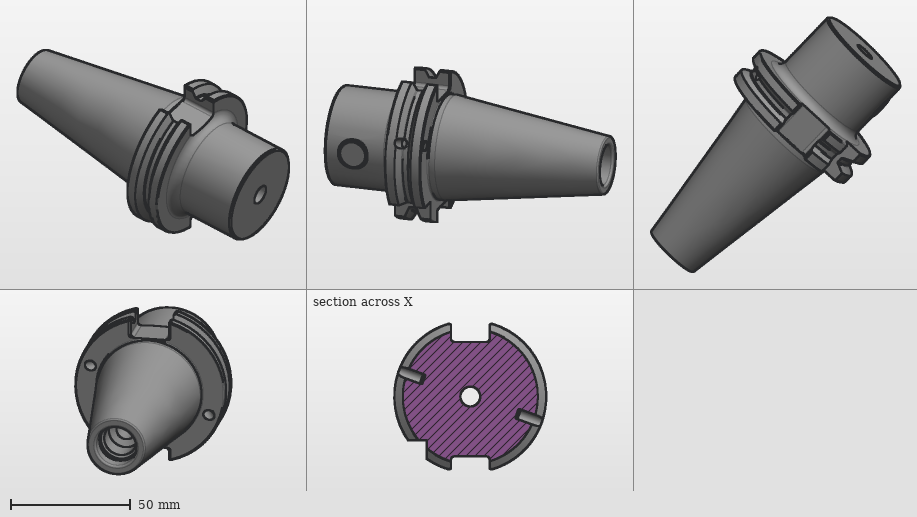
import cadquery as cq
import math


GAUGE_RADIUS = 22.225
TAPER_SLOPE = 7 / 48
TAPER_LENGTH = 68.4
TIP_X = -TAPER_LENGTH
TIP_RADIUS = GAUGE_RADIUS - TAPER_LENGTH * TAPER_SLOPE
TIP_ROUND = 0.7
ROOT_ROUND = 0.6

FLANGE_RADIUS = 31.75
FLANGE_FRONT = 3.2
FLANGE_BACK = 18.8
FLANGE_ROUND = 0.4
GROOVE_CENTRE = 11.0
GROOVE_TOP_WIDTH = 7.0
GROOVE_FLOOR_RADIUS = 28.125
GROOVE_FLANK_ANGLE = 30.0
GROOVE_CORNER_ROUND = 0.5

NOSE_RADIUS = 21.0
NOSE_END = 48.95
NOSE_CHAMFER = 0.7
NOSE_FILLET = 4.1

BORE_RADIUS = 8.5
BORE_DEPTH = 6.7
BORE_MOUTH_ROUND = 1.0
RELIEF_RADIUS = 8.3
RELIEF_LENGTH = 2.2
THREAD_RADIUS = 7.0
THREAD_LENGTH = 10.0
THROUGH_RADIUS = 4.1
CONE_ANGLE = 59.0

SLOT_HALF_WIDTH = 8.05
SLOT_CORNER_ROUND = 1.4
UPPER_SLOT_FLOOR = 22.8
LOWER_SLOT_FLOOR = 25.0
SLOT_BEVEL_WIDTH = 0.87
SLOT_BEVEL_DEPTH = 0.5
NOTCH_OFFSET = 18.25

COOLANT_RADIUS = 2.1
COOLANT_CLOCK_ANGLE = 20.0
FEED_START_RADIUS = 26.85
FEED_ANGLE = 28.0
OUTLET_X = FLANGE_FRONT + 9.75

SCREW_RADIUS = 6.0
SCREW_X = NOSE_END - 12.5
SCREW_TIP_Y = 8.0
SCREW_TOP_CHAMFER = 0.5
SCREW_SEAT_RADIUS = 6.5

CUT_MARGIN = 1.0


def revolve_about_x(sketch):
    """Turn a closed (x, radius) outline once around the X axis."""
    return sketch.close().revolve(360, (0, 0, 0), (1, 0, 0))


def shank_and_nose():
    fillet_mid = NOSE_FILLET * (1 - math.sqrt(0.5))
    root_mid = ROOT_ROUND * (1 - math.sqrt(0.5))
    outline = (
        cq.Workplane("XY")
        .moveTo(TIP_X, 0)
        .lineTo(TIP_X, TIP_RADIUS)
        .lineTo(0, GAUGE_RADIUS)
        .lineTo(FLANGE_FRONT - ROOT_ROUND, GAUGE_RADIUS)
        .threePointArc(
            (FLANGE_FRONT - root_mid, GAUGE_RADIUS + root_mid),
            (FLANGE_FRONT, GAUGE_RADIUS + ROOT_ROUND),
        )
        .lineTo(FLANGE_BACK, GAUGE_RADIUS + ROOT_ROUND)
        .lineTo(FLANGE_BACK, NOSE_RADIUS + NOSE_FILLET)
        .threePointArc(
            (FLANGE_BACK + fillet_mid, NOSE_RADIUS + fillet_mid),
            (FLANGE_BACK + NOSE_FILLET, NOSE_RADIUS),
        )
        .lineTo(NOSE_END - NOSE_CHAMFER, NOSE_RADIUS)
        .lineTo(NOSE_END, NOSE_RADIUS - NOSE_CHAMFER)
        .lineTo(NOSE_END, 0)
    )
    return revolve_about_x(outline).faces("<X").edges().fillet(TIP_ROUND)


def flange():
    disc = (
        cq.Workplane("YZ", origin=(FLANGE_FRONT, 0, 0))
        .circle(FLANGE_RADIUS)
        .extrude(FLANGE_BACK - FLANGE_FRONT)
        .edges()
        .fillet(FLANGE_ROUND)
    )
    flank_slope = math.tan(math.radians(GROOVE_FLANK_ANGLE))
    top_radius = FLANGE_RADIUS + CUT_MARGIN
    half_top = GROOVE_TOP_WIDTH / 2 + CUT_MARGIN * flank_slope
    half_floor = half_top - (top_radius - GROOVE_FLOOR_RADIUS) * flank_slope
    groove = revolve_about_x(
        cq.Workplane("XY")
        .moveTo(GROOVE_CENTRE - half_top, top_radius)
        .lineTo(GROOVE_CENTRE - half_floor, GROOVE_FLOOR_RADIUS)
        .lineTo(GROOVE_CENTRE + half_floor, GROOVE_FLOOR_RADIUS)
        .lineTo(GROOVE_CENTRE + half_top, top_radius)
    )
    floor_edges = cq.selectors.BoxSelector(
        (FLANGE_FRONT, -GROOVE_FLOOR_RADIUS, -GROOVE_FLOOR_RADIUS),
        (FLANGE_BACK, GROOVE_FLOOR_RADIUS, GROOVE_FLOOR_RADIUS),
    )
    return disc.cut(groove.edges(floor_edges).fillet(GROOVE_CORNER_ROUND))


def cone_length(large_radius, small_radius):
    """Axial length of a bore cone between two radii."""
    return (large_radius - small_radius) / math.tan(math.radians(CONE_ANGLE))


def axial_bore():
    mouth_mid = BORE_MOUTH_ROUND * (1 - math.sqrt(0.5))
    step_x = TIP_X + BORE_DEPTH
    relief_end = step_x + RELIEF_LENGTH
    thread_start = relief_end + cone_length(RELIEF_RADIUS, THREAD_RADIUS)
    thread_end = thread_start + THREAD_LENGTH
    return revolve_about_x(
        cq.Workplane("XY")
        .moveTo(TIP_X, 0)
        .lineTo(TIP_X, BORE_RADIUS + BORE_MOUTH_ROUND)
        .threePointArc(
            (TIP_X + mouth_mid, BORE_RADIUS + mouth_mid),
            (TIP_X + BORE_MOUTH_ROUND, BORE_RADIUS),
        )
        .lineTo(step_x, BORE_RADIUS)
        .lineTo(step_x, RELIEF_RADIUS)
        .lineTo(relief_end, RELIEF_RADIUS)
        .lineTo(thread_start, THREAD_RADIUS)
        .lineTo(thread_end, THREAD_RADIUS)
        .lineTo(thread_end + cone_length(THREAD_RADIUS, THROUGH_RADIUS), THROUGH_RADIUS)
        .lineTo(NOSE_END, THROUGH_RADIUS)
        .lineTo(NOSE_END, 0)
    )


def slot_outline(plane, half_width, floor):
    """Slot section with rounded floor corners, open past the flange rim."""
    top = FLANGE_RADIUS + CUT_MARGIN
    corner = SLOT_CORNER_ROUND
    inset = corner * (1 - math.sqrt(0.5))
    return (
        plane.moveTo(-half_width, top)
        .lineTo(-half_width, floor + corner)
        .threePointArc((-half_width + inset, floor + inset), (-half_width + corner, floor))
        .lineTo(half_width - corner, floor)
        .threePointArc((half_width - inset, floor + inset), (half_width, floor + corner))
        .lineTo(half_width, top)
        .close()
    )


def driving_slot(floor):
    """Cutter for a slot on the +Z side, with bevels at its front and rim edges."""
    bevelled_half_width = SLOT_HALF_WIDTH + SLOT_BEVEL_WIDTH
    slot_end = FLANGE_BACK + NOSE_FILLET
    channel = slot_outline(
        cq.Workplane("YZ", origin=(FLANGE_FRONT - ROOT_ROUND, 0, 0)), SLOT_HALF_WIDTH, floor
    ).extrude(slot_end - FLANGE_FRONT + ROOT_ROUND)
    wide_section = slot_outline(
        cq.Workplane("YZ", origin=(FLANGE_FRONT, 0, 0)), bevelled_half_width, floor
    )
    front_bevel = slot_outline(
        wide_section.workplane(offset=SLOT_BEVEL_DEPTH), SLOT_HALF_WIDTH, floor
    ).loft(ruled=True)

    rim_height = math.sqrt(FLANGE_RADIUS**2 - bevelled_half_width**2)
    top = FLANGE_RADIUS + CUT_MARGIN
    rim_bevel = (
        cq.Workplane("YZ", origin=(FLANGE_FRONT, 0, 0))
        .moveTo(-bevelled_half_width, top)
        .lineTo(-bevelled_half_width, rim_height)
        .lineTo(-SLOT_HALF_WIDTH, rim_height - SLOT_BEVEL_DEPTH)
        .lineTo(SLOT_HALF_WIDTH, rim_height - SLOT_BEVEL_DEPTH)
        .lineTo(bevelled_half_width, rim_height)
        .lineTo(bevelled_half_width, top)
        .close()
        .extrude(FLANGE_BACK - FLANGE_FRONT)
    )
    return channel.union(front_bevel).union(rim_bevel)


def orientation_notch():
    """Corner cutter on the +Y, -Z side, through the whole flange."""
    size = FLANGE_RADIUS - NOTCH_OFFSET
    corner = cq.Workplane("XY").box(FLANGE_BACK - FLANGE_FRONT, size, size, centered=False)
    return corner.translate((FLANGE_FRONT, NOTCH_OFFSET, -FLANGE_RADIUS))


def coolant_drill(start, direction, length):
    return cq.Workplane(cq.Solid.makeCylinder(COOLANT_RADIUS, length, start, direction))


def coolant_hole(clock_angle):
    """Feed slanting inward from the flange face, met by a radial hole from the groove."""
    feed_angle = math.radians(FEED_ANGLE)
    feed_direction = cq.Vector(math.cos(feed_angle), -math.sin(feed_angle), 0)
    face_point = cq.Vector(FLANGE_FRONT, FEED_START_RADIUS, 0)
    meeting_length = (OUTLET_X - FLANGE_FRONT) / math.cos(feed_angle)
    meeting_point = face_point + feed_direction * meeting_length
    lead_in = 2 * COOLANT_RADIUS
    feed = coolant_drill(face_point - feed_direction * lead_in, feed_direction, lead_in + meeting_length)
    outlet_length = FLANGE_RADIUS + CUT_MARGIN - meeting_point.y
    outlet = coolant_drill(meeting_point, cq.Vector(0, 1, 0), outlet_length)
    return feed.union(outlet).rotate((0, 0, 0), (1, 0, 0), clock_angle)


def screw_cylinder(bottom_y, top_y):
    return (
        cq.Workplane("XZ", origin=(SCREW_X, bottom_y, 0))
        .circle(SCREW_RADIUS)
        .extrude(bottom_y - top_y)
    )


def screw_hole():
    """Blind radial hole with a 45 degree countersink that clears the curved nose."""
    seat_depth = SCREW_SEAT_RADIUS - SCREW_RADIUS
    rim_y = math.sqrt(NOSE_RADIUS**2 - SCREW_SEAT_RADIUS**2)
    top_y = NOSE_RADIUS + CUT_MARGIN
    countersink = (
        cq.Workplane("XY")
        .moveTo(0, rim_y - seat_depth)
        .lineTo(SCREW_RADIUS, rim_y - seat_depth)
        .lineTo(SCREW_SEAT_RADIUS, rim_y)
        .lineTo(SCREW_SEAT_RADIUS, top_y)
        .lineTo(0, top_y)
        .close()
        .revolve(360, (0, 0, 0), (0, 1, 0))
        .translate((SCREW_X, 0, 0))
    )
    return screw_cylinder(SCREW_TIP_Y, top_y).union(countersink)


def holder_body():
    body = shank_and_nose().union(flange())
    body = body.cut(driving_slot(UPPER_SLOT_FLOOR))
    body = body.cut(driving_slot(LOWER_SLOT_FLOOR).rotate((0, 0, 0), (1, 0, 0), 180))
    body = body.cut(orientation_notch())
    for clock_angle in (COOLANT_CLOCK_ANGLE, COOLANT_CLOCK_ANGLE + 180):
        body = body.cut(coolant_hole(clock_angle))
    return body.cut(axial_bore()).cut(screw_hole())


def clamping_screw():
    return screw_cylinder(SCREW_TIP_Y, NOSE_RADIUS).faces(">Y").chamfer(SCREW_TOP_CHAMFER)


holder = holder_body()
screw = clamping_screw()
result = cq.Compound.makeCompound([holder.val(), screw.val()])